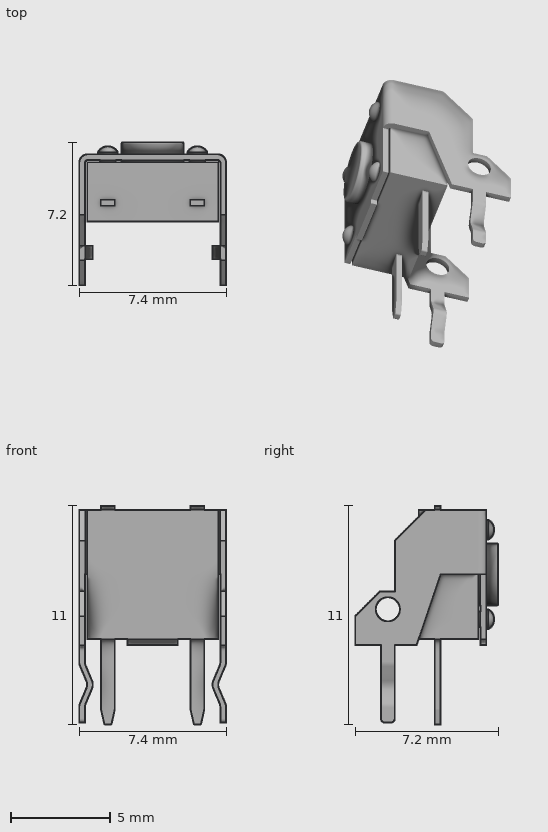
import cadquery as cq


body_width = 6.6
body_depth = 3.0
body_height = 6.5
body_top = body_height / 2
body_bottom = -body_height / 2

sheet = 0.3
gap = 0.1
bracket_half = body_width / 2 + gap + sheet
bracket_back = gap + sheet
bend_radius = 0.45
tongue_width = 2.54
bracket_bottom = body_bottom - sheet

top_front_y = -2.65
plate_front_y = -4.2
shoulder_z = -0.85
ear_top_y = -4.95
ear_front_y = -6.2
relief_top_y = -1.9
relief_bottom_y = -3.1
ear_corner_z = shoulder_z + (ear_front_y - ear_top_y)
plate_corner_z = body_top + (plate_front_y - top_front_y)

leg_width = 0.7
leg_center_y = plate_front_y - leg_width / 2
leg_bottom = -7.45
leg_tip_radius = 0.2
kink_offset = 0.44
kink_top = -4.5
kink_half_length = 1.04
kink_radius = 0.5
ear_hole_diameter = 1.2
ear_hole_z = -1.75

button_diameter = 3.14
button_end_y = 1.0
button_fillet = 0.1
rivet_spacing = 4.5
rivet_shank_diameter = 0.8
rivet_head_diameter = 1.0
rivet_head_height = 0.4
rivet_rim_height = 0.1

terminal_spacing = 4.5
terminal_width = 0.7
terminal_thickness = 0.3
terminal_back_y = -1.9
terminal_top = body_top + 0.2
terminal_bottom = -7.55
taper_length = 0.75
terminal_tip_width = 0.36
terminal_tip_radius = 0.08


def box(x_range, y_range, z_range):
    """Axis-aligned box between the given limits."""
    return (
        cq.Workplane("XY")
        .box(
            x_range[1] - x_range[0],
            y_range[1] - y_range[0],
            z_range[1] - z_range[0],
            centered=False,
        )
        .translate((x_range[0], y_range[0], z_range[0]))
    )


def cylinder_y(diameter, x, z, start_y, end_y):
    """Cylinder along +Y, centred on (x, z)."""
    return (
        cq.Workplane("XZ", origin=(x, start_y, z))
        .circle(diameter / 2)
        .extrude(start_y - end_y)
    )


def make_body():
    return box(
        (-body_width / 2, body_width / 2),
        (-body_depth, 0),
        (body_bottom, body_top),
    )


def make_channel():
    """Upright U of sheet metal, with rounded bends at the back corners."""
    outer = (
        box((-bracket_half, bracket_half), (ear_front_y, bracket_back), (bracket_bottom, body_top))
        .edges("|Z and >Y")
        .fillet(bend_radius)
    )
    inner_half = bracket_half - sheet
    inner = (
        box((-inner_half, inner_half), (ear_front_y, gap), (bracket_bottom, body_top))
        .edges("|Z and >Y")
        .fillet(bend_radius - sheet)
    )
    return outer.cut(inner)


def make_side_profile():
    """Full-width prism with the outline of the side plates, in the YZ plane."""
    return (
        cq.Workplane("YZ", origin=(-bracket_half, 0, 0))
        .moveTo(bracket_back, body_top)
        .lineTo(top_front_y, body_top)
        .lineTo(plate_front_y, plate_corner_z)
        .lineTo(plate_front_y, shoulder_z)
        .lineTo(ear_top_y, shoulder_z)
        .lineTo(ear_front_y, ear_corner_z)
        .lineTo(ear_front_y, bracket_bottom)
        .lineTo(relief_bottom_y, bracket_bottom)
        .lineTo(relief_top_y, 0)
        .lineTo(bracket_back, 0)
        .close()
        .extrude(2 * bracket_half)
    )


def make_lower_back_plate():
    """Flat back plate below the bends, ending in a narrow tongue."""
    flat_half = bracket_half - bend_radius
    plate = box((-flat_half, flat_half), (gap, bracket_back), (body_bottom, 0))
    tongue = box(
        (-tongue_width / 2, tongue_width / 2),
        (gap, bracket_back),
        (bracket_bottom, body_bottom),
    )
    return plate.union(tongue)


def make_leg():
    """Leg on the -X side: a strip kinked inwards, with a rounded tip."""
    outer_x = -bracket_half
    inner_x = outer_x + sheet
    kink_middle = kink_top - kink_half_length
    kink_bottom = kink_middle - kink_half_length
    strip = (
        cq.Workplane("XZ", origin=(0, leg_center_y, 0))
        .moveTo(outer_x, bracket_bottom)
        .lineTo(outer_x, kink_top)
        .lineTo(outer_x + kink_offset, kink_middle)
        .lineTo(outer_x, kink_bottom)
        .lineTo(outer_x, leg_bottom)
        .lineTo(inner_x, leg_bottom)
        .lineTo(inner_x, kink_bottom)
        .lineTo(inner_x + kink_offset, kink_middle)
        .lineTo(inner_x, kink_top)
        .lineTo(inner_x, bracket_bottom)
        .close()
        .extrude(leg_width / 2, both=True)
    )
    bend_zone = cq.selectors.BoxSelector(
        (outer_x - sheet, leg_center_y - leg_width, kink_bottom - sheet),
        (inner_x + 2 * kink_offset, leg_center_y + leg_width, kink_top + sheet),
    )
    strip = strip.edges("|Y").edges(bend_zone).fillet(kink_radius)
    return strip.faces("<Z").edges("|X").fillet(leg_tip_radius)


def make_bracket():
    ear_hole = (
        cq.Workplane("YZ", origin=(-bracket_half, leg_center_y, ear_hole_z))
        .circle(ear_hole_diameter / 2)
        .extrude(2 * bracket_half)
    )
    leg = make_leg()
    return (
        make_channel()
        .intersect(make_side_profile())
        .union(make_lower_back_plate())
        .cut(ear_hole)
        .union(leg)
        .union(leg.mirror("YZ"))
    )


def make_button():
    button = cylinder_y(button_diameter, 0, 0, 0, button_end_y)
    return button.faces(">Y").edges().fillet(button_fillet)


def make_rivet(x, z):
    """Shank through the bracket with a domed head on its back face."""
    shank = cylinder_y(rivet_shank_diameter, x, z, 0, bracket_back)
    head_radius = rivet_head_diameter / 2
    dome_height = rivet_head_height - rivet_rim_height
    sphere_radius = (head_radius**2 + dome_height**2) / (2 * dome_height)
    head_end = bracket_back + rivet_head_height
    head = cylinder_y(rivet_head_diameter, x, z, bracket_back, head_end)
    sphere = cq.Workplane("XY").sphere(sphere_radius).translate((x, head_end - sphere_radius, z))
    head = head.intersect(sphere)
    return shank.union(head)


def make_terminal(x):
    """Flat pin running through the body, tapered at its lower end."""
    half = terminal_width / 2
    tip_half = terminal_tip_width / 2
    taper_start = terminal_bottom + taper_length
    return (
        cq.Workplane("XZ", origin=(x, terminal_back_y, 0))
        .moveTo(-half, terminal_top)
        .lineTo(half, terminal_top)
        .lineTo(half, taper_start)
        .lineTo(tip_half, terminal_bottom)
        .lineTo(-tip_half, terminal_bottom)
        .lineTo(-half, taper_start)
        .close()
        .extrude(terminal_thickness)
        .faces("<Z")
        .edges("|Y")
        .fillet(terminal_tip_radius)
    )


result = make_body().union(make_bracket()).union(make_button())
for side in (-1, 1):
    result = result.union(make_terminal(side * terminal_spacing / 2))
    for level in (-1, 1):
        result = result.union(make_rivet(side * rivet_spacing / 2, level * rivet_spacing / 2))